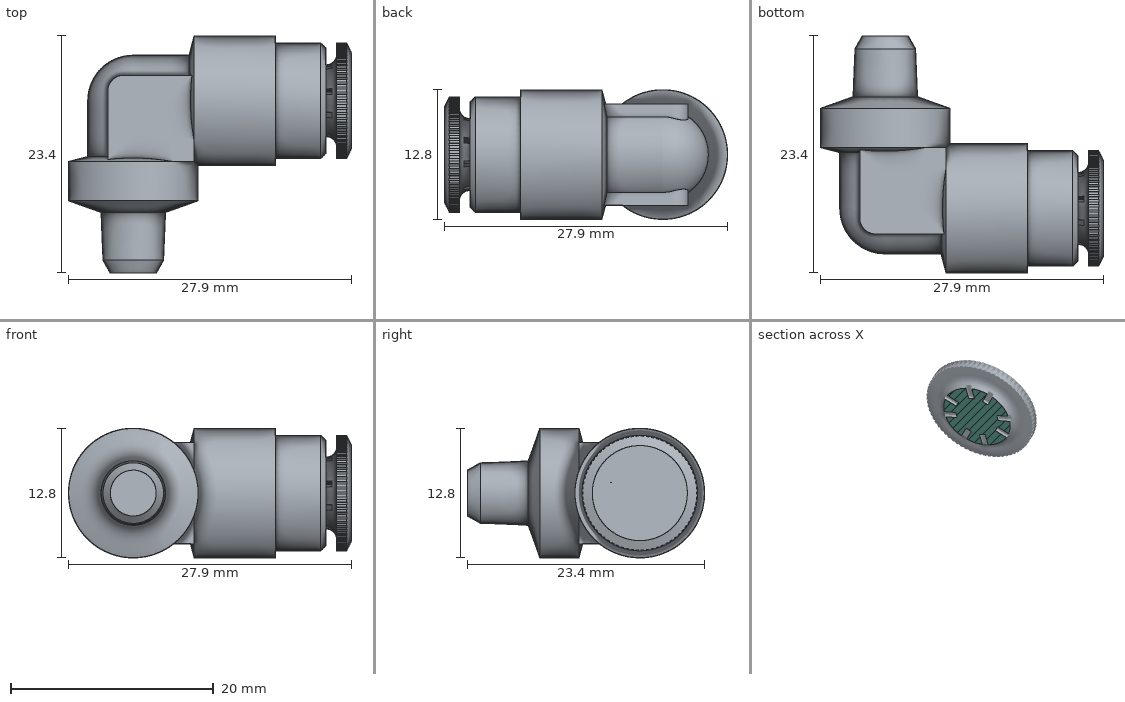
import cadquery as cq
import math


elbow_radius = 4.5
block_thickness = 10.0
block_offset = 2.5
block_corner_radius = 1.5

shoulder_radius = 6.4
shoulder_start = 6.0
shoulder_slope_length = 0.5

sleeve_end = 14.02
barrel_radius = 5.7
barrel_end = 19.0
barrel_chamfer = 0.5

collar_end = 21.53
collar_start = 20.05
collar_radius = barrel_radius
collar_chamfer_length = 0.5
collar_chamfer_depth = 1.0
neck_radius = 3.55
neck_fillet_radius = 1.0

groove_count = 70
groove_width = 0.22
groove_depth = 0.08

slot_pair_count = 4
slot_pair_angle = 4.2
slot_half_spread = 18.8
slot_width = 0.6
slot_length = 0.6
slot_depth = 1.25

flange_end = 9.85
flange_cone_end = 11.0
stem_tip_start = 15.72
stem_end = 17.0
stem_base_radius = 3.18
stem_tip_radius = 3.0
stem_end_radius = 2.25


def make_elbow():
    """Round elbow with a ball corner and a flat-sided block through it."""
    socket_leg = cq.Workplane("YZ").circle(elbow_radius).extrude(shoulder_start)
    stem_leg = cq.Workplane("XZ").circle(elbow_radius).extrude(shoulder_start)
    ball = cq.Workplane("XY").sphere(elbow_radius)
    block_side = block_offset + shoulder_start
    block_centre = (shoulder_start - block_offset) / 2
    block = (
        cq.Workplane("XY")
        .box(block_side, block_side, block_thickness)
        .edges("|Z and <X and >Y")
        .fillet(block_corner_radius)
        .translate((block_centre, -block_centre, 0))
    )
    return socket_leg.union(stem_leg).union(ball).union(block)


def make_socket():
    """Stepped sleeve, barrel, neck and collar turned about the X axis."""
    shoulder_tip = shoulder_start - shoulder_slope_length
    fillet_middle = neck_fillet_radius * math.sqrt(0.5)
    fillet_start = collar_start - neck_fillet_radius
    fillet_centre_radius = neck_radius + neck_fillet_radius
    profile = (
        cq.Workplane("XY")
        .moveTo(0, 0)
        .lineTo(0, elbow_radius)
        .lineTo(shoulder_tip, elbow_radius)
        .lineTo(shoulder_start, shoulder_radius)
        .lineTo(sleeve_end, shoulder_radius)
        .lineTo(sleeve_end, barrel_radius)
        .lineTo(barrel_end - barrel_chamfer, barrel_radius)
        .lineTo(barrel_end, barrel_radius - barrel_chamfer)
        .lineTo(barrel_end, neck_radius)
        .lineTo(fillet_start, neck_radius)
        .threePointArc(
            (fillet_start + fillet_middle, fillet_centre_radius - fillet_middle),
            (collar_start, fillet_centre_radius),
        )
        .lineTo(collar_start, collar_radius)
        .lineTo(collar_end - collar_chamfer_length, collar_radius)
        .lineTo(collar_end, collar_radius - collar_chamfer_depth)
        .lineTo(collar_end, 0)
        .close()
    )
    return profile.revolve(360, (0, 0, 0), (1, 0, 0))


def make_stem():
    """Flange, tapered stem and conical tip turned about the Y axis."""
    profile = (
        cq.Workplane("XY")
        .moveTo(0, 0)
        .lineTo(elbow_radius, 0)
        .lineTo(elbow_radius, shoulder_slope_length - shoulder_start)
        .lineTo(shoulder_radius, -shoulder_start)
        .lineTo(shoulder_radius, -flange_end)
        .lineTo(stem_base_radius, -flange_cone_end)
        .lineTo(stem_tip_radius, -stem_tip_start)
        .lineTo(stem_end_radius, -stem_end)
        .lineTo(0, -stem_end)
        .close()
    )
    return profile.revolve(360, (0, 0, 0), (0, 1, 0))


def radial_cutters(start, length, width, surface_radius, depth, angles):
    """Boxes along X that cut to a depth below a surface, at angles from +Y about X."""
    height = 2 * depth
    cutter = cq.Workplane("XY").box(length, height, width)
    cutter = cutter.translate((start + length / 2, surface_radius, 0)).val()
    cutters = [cutter.rotate((0, 0, 0), (1, 0, 0), angle) for angle in angles]
    return cq.Workplane(cq.Compound.makeCompound(cutters))


def make_rim_grooves():
    angles = [360 / groove_count * i for i in range(groove_count)]
    length = collar_end - collar_start
    return radial_cutters(collar_start, length, groove_width, collar_radius, groove_depth, angles)


def make_neck_slots():
    angles = []
    for i in range(slot_pair_count):
        middle = slot_pair_angle + 360 / slot_pair_count * i
        angles += [middle - slot_half_spread, middle + slot_half_spread]
    return radial_cutters(barrel_end, slot_length, slot_width, neck_radius, slot_depth, angles)


socket = make_socket().cut(make_rim_grooves()).cut(make_neck_slots())
result = make_elbow().union(socket).union(make_stem())